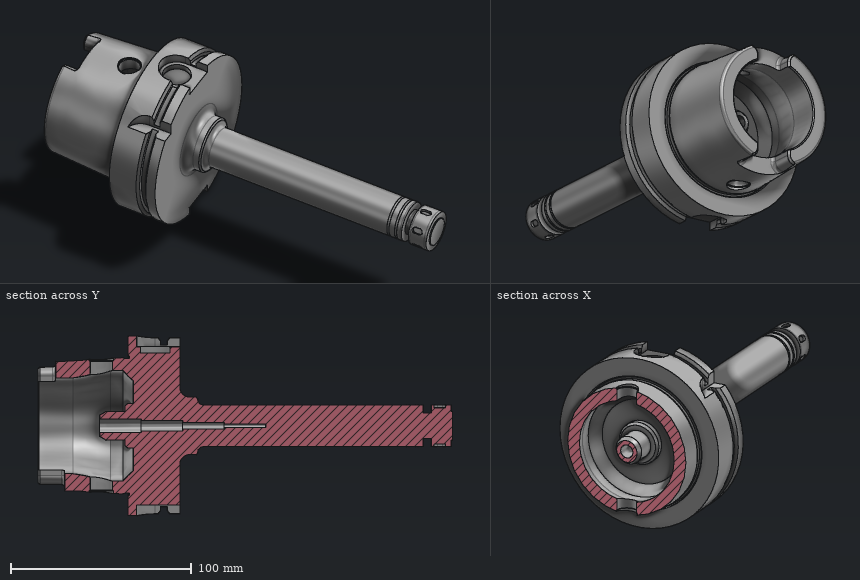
import cadquery as cq

TOTAL_LENGTH = 230.2

SHANK_LENGTH = 50.0
MOUTH_RADIUS = 35.5
TAPER_END_RADIUS = 38.0
TAPER_END_X = 47.2
MOUTH_ROUND = 1.5
RELIEF_RADIUS = 37.5
RELIEF_START_X = 48.3
FACE_RELIEF_RADIUS = 39.4
FACE_RELIEF_DEPTH = 0.7

FLANGE_RADIUS = 50.0
FLANGE_WIDTH = 29.0
FLANGE_END_X = SHANK_LENGTH + FLANGE_WIDTH
GROOVE_CENTRE_X = 70.0
GROOVE_FLOOR_RADIUS = 46.0
GROOVE_FLOOR_WIDTH = 3.7
GROOVE_FLANK_RADIUS = 48.0
GROOVE_MOUTH_WIDTH = 6.2

COLLAR_RADIUS = 16.0
COLLAR_ROOT_FILLET = 5.3
COLLAR_CHAMFER = 1.0
COLLAR_END_X = 88.8
BAR_RADIUS = 11.7
BAR_ROOT_FILLET = 3.0
BAR_END_X = 213.8
EDGE_CHAMFER_DROP = 0.12
BAR_CHAMFER_LENGTH = 1.0
RING_STARTS_X = (204.6, 209.5)
RING_WIDTH = 1.4
RING_DEPTH = 0.12

NECK_RADIUS = 7.1
NECK_ROOT_RADIUS = 7.4
NECK_ROOT_LENGTH = 1.2
NUT_RADIUS = BAR_RADIUS
NUT_START_X = 218.2
NUT_END_X = 229.5
NUT_BACK_CHAMFER_LENGTH = 1.0
NUT_FRONT_CHAMFER_LENGTH = 1.4
COLLET_FACE_RADIUS = 8.0
NUT_SLOT_COUNT = 6
NUT_SLOT_WIDTH = 3.5
NUT_SLOT_LENGTH = 6.2
NUT_SLOT_CENTRE_X = 223.0
NUT_SLOT_DEPTH = 1.5

BORE_MOUTH_RADIUS = 26.5
BORE_MOUTH_CHAMFER = 0.7
MOUTH_BORE_DEPTH = 19.5
CLAMP_RADIUS = 30.5
CLAMP_CONE_END_X = 40.3
BORE_FLOOR_RADIUS = 24.9
BORE_FLOOR_X = 53.0
COOLANT_NUT_RADIUS = 12.5
COOLANT_NUT_CHAMFER = 1.4
COOLANT_NUT_FACE_X = 48.3
TUBE_RADIUS = 8.0
TUBE_TIP_RADIUS = 6.0
TUBE_TIP_X = 34.3
TUBE_CONE_END_X = 37.7
COOLANT_BORES = ((7.4, 23.0), (5.8, 46.0), (3.5, 69.0), (1.7, 92.0))

CROSS_HOLE_DIAMETER = 12.2
CROSS_HOLE_RIM_DIAMETER = 13.1
CROSS_HOLE_RIM_Z = 36.1
CROSS_HOLE_X = 35.2

DRIVE_SLOT_HALF_WIDTH = 10.0
DRIVE_SLOT_FLARE_RADIUS = 5.0
DRIVE_SLOT_FLARE_Z = 27.6
DRIVE_SLOT_INNER_Z = 18.5
UPPER_DRIVE_SLOT_DEPTH = 10.0
LOWER_DRIVE_SLOT_DEPTH = 15.0
DRIVE_SLOT_FLOOR_ROUND = 1.8
DRIVE_SLOT_MOUTH_CHAMFER = 1.2

KEYWAY_RADIUS = 10.1
KEYWAY_CENTRE_X = 65.1
KEYWAY_FLOOR_Z = 44.0
POCKET_DIAMETER = 16.0
POCKET_DEPTH = 3.5

NOTCH_WALL_Y = -31.5
NOTCH_FLOOR_Z = 31.8

CLEAR = 11.5


def turned_body():
    groove_half_mouth = GROOVE_MOUTH_WIDTH / 2
    groove_half_floor = GROOVE_FLOOR_WIDTH / 2
    neck_start_x = BAR_END_X + NECK_ROOT_LENGTH
    outline = (
        cq.Workplane("XY")
        .moveTo(0, 0)
        .lineTo(0, MOUTH_RADIUS - MOUTH_ROUND)
        .radiusArc((MOUTH_ROUND, MOUTH_RADIUS), MOUTH_ROUND)
        .lineTo(TAPER_END_X, TAPER_END_RADIUS)
        .lineTo(RELIEF_START_X, RELIEF_RADIUS)
        .lineTo(SHANK_LENGTH + FACE_RELIEF_DEPTH, RELIEF_RADIUS)
        .lineTo(SHANK_LENGTH + FACE_RELIEF_DEPTH, FACE_RELIEF_RADIUS - FACE_RELIEF_DEPTH)
        .lineTo(SHANK_LENGTH, FACE_RELIEF_RADIUS)
        .lineTo(SHANK_LENGTH, FLANGE_RADIUS)
        .lineTo(GROOVE_CENTRE_X - groove_half_mouth, FLANGE_RADIUS)
        .lineTo(GROOVE_CENTRE_X - groove_half_floor, GROOVE_FLANK_RADIUS)
        .lineTo(GROOVE_CENTRE_X - groove_half_floor, GROOVE_FLOOR_RADIUS)
        .lineTo(GROOVE_CENTRE_X + groove_half_floor, GROOVE_FLOOR_RADIUS)
        .lineTo(GROOVE_CENTRE_X + groove_half_floor, GROOVE_FLANK_RADIUS)
        .lineTo(GROOVE_CENTRE_X + groove_half_mouth, FLANGE_RADIUS)
        .lineTo(FLANGE_END_X, FLANGE_RADIUS)
        .lineTo(FLANGE_END_X, COLLAR_RADIUS + COLLAR_ROOT_FILLET)
        .radiusArc((FLANGE_END_X + COLLAR_ROOT_FILLET, COLLAR_RADIUS), -COLLAR_ROOT_FILLET)
        .lineTo(COLLAR_END_X - COLLAR_CHAMFER, COLLAR_RADIUS)
        .lineTo(COLLAR_END_X, COLLAR_RADIUS - COLLAR_CHAMFER)
        .lineTo(COLLAR_END_X, BAR_RADIUS + BAR_ROOT_FILLET)
        .radiusArc((COLLAR_END_X + BAR_ROOT_FILLET, BAR_RADIUS), -BAR_ROOT_FILLET)
        .lineTo(BAR_END_X - BAR_CHAMFER_LENGTH, BAR_RADIUS)
        .lineTo(BAR_END_X, BAR_RADIUS - EDGE_CHAMFER_DROP)
        .lineTo(BAR_END_X, NECK_ROOT_RADIUS)
        .lineTo(neck_start_x, NECK_RADIUS)
        .lineTo(NUT_START_X, NECK_RADIUS)
        .lineTo(NUT_START_X, NUT_RADIUS - EDGE_CHAMFER_DROP)
        .lineTo(NUT_START_X + NUT_BACK_CHAMFER_LENGTH, NUT_RADIUS)
        .lineTo(NUT_END_X - NUT_FRONT_CHAMFER_LENGTH, NUT_RADIUS)
        .lineTo(NUT_END_X, NUT_RADIUS - EDGE_CHAMFER_DROP)
        .lineTo(NUT_END_X, COLLET_FACE_RADIUS)
        .lineTo(TOTAL_LENGTH, COLLET_FACE_RADIUS)
        .lineTo(TOTAL_LENGTH, 0)
        .close()
    )
    return outline.revolve(360, (0, 0, 0), (1, 0, 0))


def identification_rings():
    rings = cq.Workplane("YZ")
    for start_x in RING_STARTS_X:
        ring = (
            cq.Workplane("YZ", origin=(start_x, 0, 0))
            .circle(BAR_RADIUS + CLEAR)
            .circle(BAR_RADIUS - RING_DEPTH)
            .extrude(RING_WIDTH)
        )
        rings = rings.add(ring)
    return rings.combine()


def nut_slots():
    """Round-ended slots cut radially into the clamping nut, the first one facing +Z."""
    slot = (
        cq.Workplane("XY", origin=(NUT_SLOT_CENTRE_X, 0, NUT_RADIUS - NUT_SLOT_DEPTH))
        .slot2D(NUT_SLOT_LENGTH, NUT_SLOT_WIDTH)
        .extrude(CLEAR)
    )
    slots = cq.Workplane("XY")
    for index in range(NUT_SLOT_COUNT):
        angle = index * 360 / NUT_SLOT_COUNT
        slots = slots.add(slot.rotate((0, 0, 0), (1, 0, 0), angle))
    return slots.combine()


def cavity():
    """Space inside the shank, around the coolant nut and tube, widening behind the mouth."""
    clamp_end_x = BORE_FLOOR_X - (CLAMP_RADIUS - BORE_FLOOR_RADIUS)
    outline = (
        cq.Workplane("XY")
        .moveTo(0, 0)
        .lineTo(0, BORE_MOUTH_RADIUS + BORE_MOUTH_CHAMFER)
        .lineTo(BORE_MOUTH_CHAMFER, BORE_MOUTH_RADIUS)
        .lineTo(MOUTH_BORE_DEPTH, BORE_MOUTH_RADIUS)
        .lineTo(CLAMP_CONE_END_X, CLAMP_RADIUS)
        .lineTo(clamp_end_x, CLAMP_RADIUS)
        .lineTo(BORE_FLOOR_X, BORE_FLOOR_RADIUS)
        .lineTo(BORE_FLOOR_X, COOLANT_NUT_RADIUS)
        .lineTo(COOLANT_NUT_FACE_X + COOLANT_NUT_CHAMFER, COOLANT_NUT_RADIUS)
        .lineTo(COOLANT_NUT_FACE_X, COOLANT_NUT_RADIUS - COOLANT_NUT_CHAMFER)
        .lineTo(COOLANT_NUT_FACE_X, TUBE_RADIUS)
        .lineTo(TUBE_CONE_END_X, TUBE_RADIUS)
        .lineTo(TUBE_TIP_X, TUBE_TIP_RADIUS)
        .lineTo(TUBE_TIP_X, 0)
        .close()
    )
    return outline.revolve(360, (0, 0, 0), (1, 0, 0))


def coolant_bore():
    bores = cq.Workplane("YZ")
    for diameter, depth in COOLANT_BORES:
        step = cq.Workplane("YZ", origin=(TUBE_TIP_X, 0, 0)).circle(diameter / 2).extrude(depth)
        bores = bores.add(step)
    return bores.combine()


def cross_hole():
    """Hole along Z through both walls of the shank, sparing the coolant tube between them."""
    hole = (
        cq.Workplane("XY", origin=(CROSS_HOLE_X, 0, 0))
        .circle(CROSS_HOLE_DIAMETER / 2)
        .extrude(FLANGE_RADIUS, both=True)
    )
    rim_chamfer = (CROSS_HOLE_RIM_DIAMETER - CROSS_HOLE_DIAMETER) / 2
    rim = (
        cq.Workplane("XY", origin=(CROSS_HOLE_X, 0, CROSS_HOLE_RIM_Z))
        .circle(CROSS_HOLE_RIM_DIAMETER / 2)
        .extrude(CLEAR)
        .faces("<Z")
        .wires()
        .toPending()
        .workplane()
        .extrude(rim_chamfer, taper=45)
    )
    hole = hole.union(rim).union(turned_to_minus_z(rim))
    core = cq.Workplane("YZ").circle(COOLANT_NUT_RADIUS).extrude(BORE_FLOOR_X)
    return hole.cut(core)


def drive_slot_outline(plane, widening):
    """Slot cross-section: parallel walls that flare outwards in arcs near the shank surface."""
    half_width = DRIVE_SLOT_HALF_WIDTH + widening
    flare_radius = DRIVE_SLOT_FLARE_RADIUS - widening
    arc_end_y = half_width + flare_radius
    arc_end_z = DRIVE_SLOT_FLARE_Z + flare_radius
    outer_y = arc_end_y + CLEAR
    outer_z = arc_end_z + CLEAR
    return (
        plane
        .moveTo(-half_width, DRIVE_SLOT_INNER_Z)
        .lineTo(half_width, DRIVE_SLOT_INNER_Z)
        .lineTo(half_width, DRIVE_SLOT_FLARE_Z)
        .radiusArc((arc_end_y, arc_end_z), flare_radius)
        .lineTo(outer_y, arc_end_z)
        .lineTo(outer_y, outer_z)
        .lineTo(-outer_y, outer_z)
        .lineTo(-outer_y, arc_end_z)
        .lineTo(-arc_end_y, arc_end_z)
        .radiusArc((-half_width, DRIVE_SLOT_FLARE_Z), flare_radius)
        .close()
    )


def drive_slot(depth):
    """Driving slot on the +Z side with a rounded floor and a chamfered mouth."""
    mouth_plane = cq.Workplane("YZ")
    slot = drive_slot_outline(mouth_plane, 0).extrude(depth)
    slot = slot.faces(">X").edges("not (<Z or >Z)").fillet(DRIVE_SLOT_FLOOR_ROUND)
    mouth = drive_slot_outline(mouth_plane, DRIVE_SLOT_MOUTH_CHAMFER).extrude(
        DRIVE_SLOT_MOUTH_CHAMFER, taper=45
    )
    return slot.union(mouth)


def round_ended_cutter(centre_y, floor_z):
    """Keyway cutter: round end towards -X, open at the +X face of the flange."""
    run_out = FLANGE_END_X - KEYWAY_CENTRE_X + CLEAR
    return (
        cq.Workplane("XY", origin=(KEYWAY_CENTRE_X, centre_y, floor_z))
        .moveTo(0, KEYWAY_RADIUS)
        .lineTo(run_out, KEYWAY_RADIUS)
        .lineTo(run_out, -KEYWAY_RADIUS)
        .lineTo(0, -KEYWAY_RADIUS)
        .threePointArc((-KEYWAY_RADIUS, 0), (0, KEYWAY_RADIUS))
        .close()
        .extrude(FLANGE_RADIUS)
    )


def keyway_pocket():
    return (
        cq.Workplane("XY", origin=(KEYWAY_CENTRE_X, 0, KEYWAY_FLOOR_Z - POCKET_DEPTH))
        .circle(POCKET_DIAMETER / 2)
        .extrude(FLANGE_RADIUS)
    )


def turned_to_minus_z(cutter):
    return cutter.rotate((0, 0, 0), (1, 0, 0), 180)


keyway = round_ended_cutter(0, KEYWAY_FLOOR_Z)
corner_notch = round_ended_cutter(NOTCH_WALL_Y - KEYWAY_RADIUS, NOTCH_FLOOR_Z)

result = (
    turned_body()
    .cut(identification_rings())
    .cut(nut_slots())
    .cut(cavity())
    .cut(coolant_bore())
    .cut(cross_hole())
    .cut(drive_slot(UPPER_DRIVE_SLOT_DEPTH))
    .cut(turned_to_minus_z(drive_slot(LOWER_DRIVE_SLOT_DEPTH)))
    .cut(keyway)
    .cut(turned_to_minus_z(keyway))
    .cut(keyway_pocket())
    .cut(corner_notch)
)